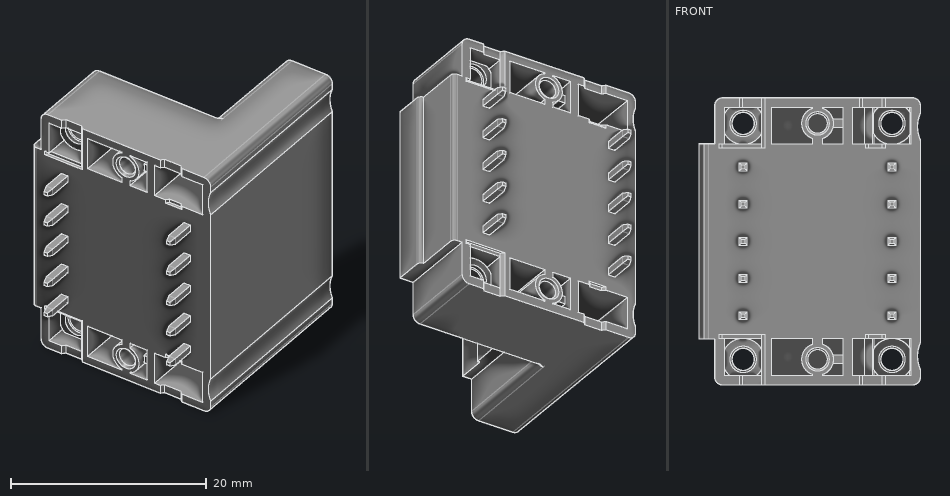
import cadquery as cq
import math

half_width = 10.55
half_height = 14.72
base_depth = 9.34
tower_depth = 22.0
corner_radius = 0.85
tower_left = 4.68
tower_root_left = 4.6
tower_root_radius = 0.25

core_half_height = 10.0
core_left = -12.15
core_step = 0.5
core_step_y = 6.1
core_tower_left = 3.6
core_ledge_left = 3.33
core_ledge_y = 18.75
core_draft = 1.5
core_root_radius = 0.85

pin_row_x = 7.62
screw_z = 12.08
screw_boss_diameter = 4.3
screw_hole_diameter = 2.25
screw_bore_diameter = 2.7
screw_bore_depth = 0.5
left_boss_y = 2.1
right_boss_y = left_boss_y + tower_depth - base_depth

wall = 1.0
pocket_bottom = 9.95
pocket_top = half_height - wall
pocket_outer_x = half_width - wall
roof = 1.0
pocket_floor = base_depth - roof
left_pocket_inner_x = -5.72
middle_pocket_left = -4.74
middle_pocket_right = 2.62
right_pocket_inner_x = 3.58
right_pocket_step_x = 4.82
right_pocket_step_rise = 0.5
chamber_inner_x = 5.65
chamber_draft_inset = 0.15

guide_diameter = 3.26
guide_bore_diameter = 2.0
guide_mouth_diameter = 2.4
guide_mouth_depth = 0.3
guide_bore_depth = 6.0
guide_web_width = 1.0
guide_side_web_width = 0.88
guide_side_web_setback = 1.0

groove_depth = 0.34
groove_bottom = 9.55
groove_left_run = 0.3
groove_right_run = 0.35
left_groove_start = -7.97
left_groove_end = -5.37
right_groove_start = 4.28
right_groove_end = 6.95
left_rim_start = -10.1
right_rim_start = 4.9

relief_z = 11.75
relief_length = 2.8
relief_depth = 0.3

pin_pitch = 3.81
pins_per_row = 5
pin_width = 0.8
pin_tip_width = 0.4
pin_length = 3.4
pin_taper_length = 0.68
pin_embed = 1.0


def box(x0, x1, y0, y1, z0, z1):
    """Axis-aligned box between opposite corners."""
    size = (x1 - x0, y1 - y0, z1 - z0)
    return cq.Workplane("XY").box(*size, centered=False).translate((x0, y0, z0))


def cylinder(x, z, diameter, y0, y1):
    """Cylinder along Y."""
    solid = cq.Solid.makeCylinder(diameter / 2, y1 - y0, cq.Vector(x, y0, z), cq.Vector(0, 1, 0))
    return cq.Workplane(obj=solid)


def both_ends(shape):
    """The shape together with its mirror image about Z = 0."""
    return shape.union(shape.mirror("XY"))


def root_fillet_profile(z):
    """Concave fillet section between the base top and the tower wall, in the plane at z."""
    crest_y = base_depth + tower_root_radius
    inside_x = tower_root_left + tower_root_radius
    return (
        cq.Workplane("XY", origin=(0, 0, z))
        .moveTo(tower_root_left - tower_root_radius, base_depth)
        .radiusArc((tower_root_left, crest_y), -tower_root_radius)
        .lineTo(inside_x, crest_y)
        .lineTo(inside_x, base_depth)
        .close()
    )


def tower_root_fillet():
    """Upper half of the root fillet: straight along the wall, then around the rounded corner."""
    corner_z = half_height - corner_radius
    corner_x = tower_root_left + corner_radius
    straight = root_fillet_profile(0).extrude(corner_z)
    turn = root_fillet_profile(corner_z).revolve(90, (corner_x, 0), (corner_x, 1))
    limits = box(tower_root_left - tower_root_radius, corner_x, 0, tower_depth, 0, half_height)
    return straight.union(turn.intersect(limits))


def end_section_body():
    """Full-height L block with rounded long edges and a small fillet at the tower root."""
    base = box(-half_width, half_width, 0, base_depth, -half_height, half_height)
    base = base.edges("|Y").fillet(corner_radius)
    tower = (
        cq.Workplane("XY", origin=(0, 0, -half_height))
        .moveTo(half_width, 0)
        .lineTo(half_width, tower_depth)
        .lineTo(tower_left, tower_depth)
        .lineTo(tower_root_left, base_depth)
        .lineTo(tower_root_left, 0)
        .close()
        .extrude(2 * half_height)
    )
    tower = tower.edges(">X and |Y").fillet(corner_radius)
    wall_x = (tower_root_left + tower_left) / 2
    wall_y = (base_depth + tower_depth) / 2
    for corner_z in (-half_height, half_height):
        corner_edge = cq.selectors.NearestToPointSelector((wall_x, wall_y, corner_z))
        tower = tower.edges(corner_edge).fillet(corner_radius)
    return base.union(tower).union(both_ends(tower_root_fillet()))


def core_body():
    """Central section with a stepped left wall and a drafted tower wall."""
    lower_left = core_left + core_step
    root_left = core_ledge_left - (core_ledge_y - base_depth) * math.tan(math.radians(core_draft))
    core = (
        cq.Workplane("XY", origin=(0, 0, -core_half_height))
        .moveTo(half_width, 0)
        .lineTo(lower_left + core_step, 0)
        .radiusArc((lower_left, core_step), core_step)
        .lineTo(lower_left, core_step_y - core_step)
        .radiusArc((core_left, core_step_y), core_step)
        .lineTo(core_left, base_depth)
        .lineTo(root_left, base_depth)
        .lineTo(core_ledge_left, core_ledge_y)
        .lineTo(core_tower_left, core_ledge_y)
        .lineTo(core_tower_left, tower_depth)
        .lineTo(half_width, tower_depth)
        .close()
        .extrude(2 * core_half_height)
    )
    root_edge = cq.selectors.NearestToPointSelector((root_left, base_depth, 0))
    return core.edges("|Z").edges(root_edge).fillet(core_root_radius)


def left_pocket():
    """Plain rectangular pocket around the left screw boss."""
    return box(-pocket_outer_x, left_pocket_inner_x, 0, pocket_floor, pocket_bottom, pocket_top)


def right_pocket():
    """Wide mouth with a stepped floor and a drafted chamber running up the tower."""
    step_floor = pocket_floor + right_pocket_step_rise
    chamber_floor = tower_depth - roof
    return (
        cq.Workplane("XY", origin=(0, 0, pocket_bottom))
        .moveTo(pocket_outer_x, 0)
        .lineTo(right_pocket_inner_x, 0)
        .lineTo(right_pocket_inner_x, pocket_floor)
        .lineTo(right_pocket_step_x, pocket_floor)
        .lineTo(right_pocket_step_x, step_floor)
        .lineTo(chamber_inner_x, step_floor)
        .lineTo(chamber_inner_x + chamber_draft_inset, chamber_floor)
        .lineTo(pocket_outer_x - chamber_draft_inset, chamber_floor)
        .close()
        .extrude(pocket_top - pocket_bottom)
    )


def middle_pocket():
    """Pocket around the guide boss, which stays joined to the walls by three webs."""
    pocket = box(middle_pocket_left, middle_pocket_right, 0, pocket_floor, pocket_bottom, pocket_top)
    upright_web = box(
        -guide_web_width / 2, guide_web_width / 2, 0, pocket_floor, pocket_bottom, pocket_top
    )
    side_web = box(
        0, middle_pocket_right, guide_side_web_setback, pocket_floor,
        screw_z - guide_side_web_width / 2, screw_z + guide_side_web_width / 2,
    )
    guide = cylinder(0, screw_z, guide_diameter, 0, pocket_floor)
    return pocket.cut(upright_web).cut(side_web).cut(guide)


def guide_bore():
    """Blind bore with a conical mouth."""
    mouth = cq.Solid.makeCone(
        guide_mouth_diameter / 2, guide_bore_diameter / 2, guide_mouth_depth,
        cq.Vector(0, 0, screw_z), cq.Vector(0, 1, 0),
    )
    return cylinder(0, screw_z, guide_bore_diameter, 0, guide_bore_depth).union(cq.Workplane(obj=mouth))


def screw_hole(x, boss_y):
    """Through hole with a wider bore at the boss end face."""
    bore = cylinder(x, screw_z, screw_bore_diameter, boss_y, boss_y + screw_bore_depth)
    return cylinder(x, screw_z, screw_hole_diameter, 0, tower_depth).union(bore)


def groove(left, right, bottom, top):
    """Shallow trough in the base face with slanted ends."""
    return (
        cq.Workplane("XY", origin=(0, 0, bottom))
        .moveTo(left, 0)
        .lineTo(right, 0)
        .lineTo(right - groove_right_run, groove_depth)
        .lineTo(left + groove_left_run, groove_depth)
        .close()
        .extrude(top - bottom)
    )


def grooves():
    """Troughs across the outer wall and along the inner rim of the two screw pockets."""
    return (
        groove(left_groove_start, left_groove_end, pocket_bottom, half_height)
        .union(groove(left_rim_start, left_groove_end, groove_bottom, pocket_bottom))
        .union(groove(right_groove_start, right_groove_end, pocket_bottom, half_height))
        .union(groove(right_rim_start, right_groove_end, groove_bottom, pocket_bottom))
    )


def side_relief():
    """Shallow scooped channel along the right wall."""
    half_length = relief_length / 2
    radius = (half_length**2 + relief_depth**2) / (2 * relief_depth)
    return cylinder(half_width - relief_depth + radius, relief_z, 2 * radius, 0, tower_depth)


def pin(x, z):
    """Square pin with a tapered tip, pointing along -Y."""
    half = pin_width / 2
    shoulder = pin_length - pin_taper_length
    shank = box(x - half, x + half, -shoulder, pin_embed, z - half, z + half)
    tip = (
        cq.Workplane("XZ", origin=(x, -shoulder, z))
        .rect(pin_width, pin_width)
        .workplane(offset=pin_taper_length)
        .rect(pin_tip_width, pin_tip_width)
        .loft(combine=True)
    )
    return shank.union(tip)


def screw_boss(x, boss_y, floor_y, x_min, x_max):
    """Round boss rising from a pocket floor, trimmed by the pocket walls."""
    boss = cylinder(x, screw_z, screw_boss_diameter, boss_y, floor_y)
    return boss.intersect(box(x_min, x_max, boss_y, floor_y, pocket_bottom, pocket_top))


body = end_section_body().union(core_body())
body = body.cut(both_ends(left_pocket()))
body = body.cut(both_ends(right_pocket()))
body = body.cut(both_ends(middle_pocket()))

left_boss = screw_boss(
    -pin_row_x, left_boss_y, pocket_floor + roof / 2, -half_width + wall / 2, left_pocket_inner_x
)
right_boss = screw_boss(
    pin_row_x, right_boss_y, tower_depth - roof / 2, chamber_inner_x, half_width - wall / 2
)
body = body.union(both_ends(left_boss)).union(both_ends(right_boss))
body = body.cut(both_ends(screw_hole(-pin_row_x, left_boss_y)))
body = body.cut(both_ends(screw_hole(pin_row_x, right_boss_y)))
body = body.cut(both_ends(guide_bore()))

body = body.cut(both_ends(grooves()))
body = body.cut(both_ends(side_relief()))

for row_x in (-pin_row_x, pin_row_x):
    for index in range(pins_per_row):
        pin_z = (index - (pins_per_row - 1) / 2) * pin_pitch
        body = body.union(pin(row_x, pin_z))

result = body